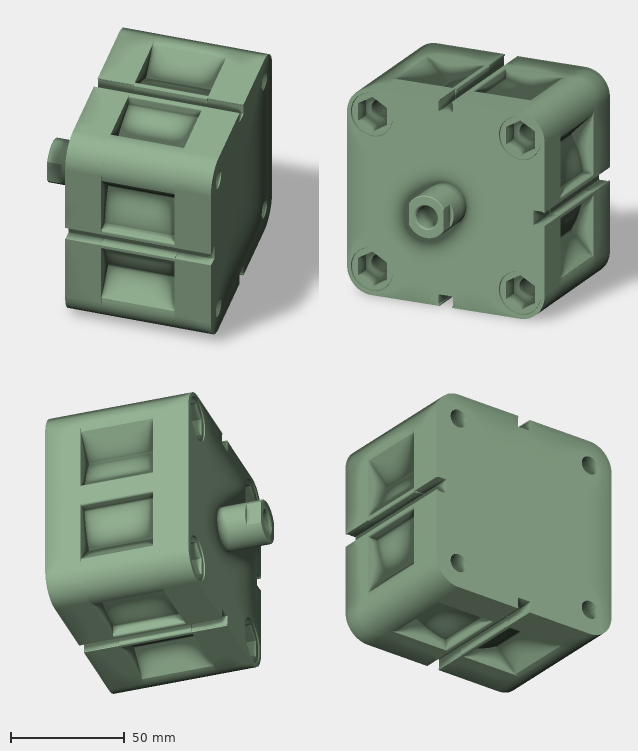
import cadquery as cq
import math


side = 96.0
half_side = side / 2
corner_radius = 12.0
cap_length = 16.5
barrel_length = 33.6
barrel_start = cap_length
rear_cap_start = barrel_start + barrel_length

screw_offset = half_side - corner_radius
screw_hole_radius = 4.3
hex_across_flats = 14.1
hex_depth = 8.2
recess_radius = 10.2
recess_depth = 0.6
head_radius = 9.9
head_gap_depth = 0.4

slot_angles = [0, 90, 180]
slot_half_width = 3.1
slot_depth = 5.0
slot_lip_half_width = 2.7
slot_lip_depth = 1.7
slot_mouth_chamfer = 0.4

slot_clearance = 0.4
cap_slot_half_width = slot_half_width + slot_clearance
cap_slot_depth = slot_depth + slot_clearance
cap_slot_mouth_half_width = slot_lip_half_width + slot_clearance
cap_slot_lip_depth = 0.6

quarter_turns = [0, 90, 180, 270]
tube_radius = 43.2
rib_half_width = 5.3
rib_edge_radius = 1.0
rib_root_radius = 0.7
boss_wrap_angle = math.radians(15)
boss_flank_angle = math.radians(45)
boss_root_radius = 1.0

rod_radius = 10.0
rod_projection = 19.9
rod_chamfer = 0.4
flat_offset = 8.4
flat_length = 6.6
flat_runout = 0.4
rod_hole_radius = 5.2
rod_hole_countersink = 0.6
rod_hole_depth = 24.0
drill_tip_slope = math.radians(30)
drill_tip_depth = rod_hole_radius * math.tan(drill_tip_slope)


def turned(shape, angle):
    """Rotate a shape about the X axis."""
    return shape.rotate((0, 0, 0), (1, 0, 0), angle)


def section_plane(x):
    """Sketch plane at x whose first axis is Y and second axis is Z."""
    return cq.Workplane("YZ", origin=(x, 0, 0))


def screw_points(x):
    return section_plane(x).rect(2 * screw_offset, 2 * screw_offset, forConstruction=True).vertices()


def housing_block(x, length):
    """Rounded square block with the four screw holes."""
    block = section_plane(x).rect(side, side).extrude(length).edges("|X").fillet(corner_radius)
    return block.cut(screw_points(x).circle(screw_hole_radius).extrude(length))


def slot_cutter(half_outline, x, length):
    """Slot on the +Z side, given the +Y half of its section from the mouth to the floor."""
    other_half = [(-y, z) for y, z in reversed(half_outline)]
    return section_plane(x).polyline(half_outline + other_half).close().extrude(length)


def cut_slots(body, cutter):
    for angle in slot_angles:
        body = body.cut(turned(cutter, angle))
    return body


def make_cap(x):
    undercut = cap_slot_half_width - cap_slot_mouth_half_width
    lip_z = half_side - cap_slot_lip_depth
    half_outline = [
        (cap_slot_mouth_half_width, half_side),
        (cap_slot_mouth_half_width, lip_z),
        (cap_slot_half_width, lip_z - undercut),
        (cap_slot_half_width, half_side - cap_slot_depth),
    ]
    return cut_slots(housing_block(x, cap_length), slot_cutter(half_outline, x, cap_length))


def make_front_cap():
    cap = make_cap(0)
    recesses = screw_points(0).circle(recess_radius).extrude(recess_depth)
    head_gaps = screw_points(recess_depth).circle(recess_radius).circle(head_radius).extrude(head_gap_depth)
    hex_diameter = hex_across_flats / math.cos(math.radians(30))
    sockets = turned(screw_points(recess_depth).polygon(6, hex_diameter).extrude(hex_depth), 90)
    rod_bore = section_plane(0).circle(rod_radius).extrude(cap_length)
    return cap.cut(recesses).cut(head_gaps).cut(sockets).cut(rod_bore)


def on_circle(centre, radius, angle):
    return (centre + radius * math.cos(angle), centre + radius * math.sin(angle))


def tube_point_along(start, angle):
    """Point where a straight line from start, heading at the angle, enters the tube circle."""
    along_y = math.cos(angle)
    along_z = math.sin(angle)
    to_midpoint = -(start[0] * along_y + start[1] * along_z)
    axis_distance = start[0] * along_z - start[1] * along_y
    reach = to_midpoint - math.sqrt(tube_radius**2 - axis_distance**2)
    return (start[0] + reach * along_y, start[1] + reach * along_z)


def root_edge(y, z):
    """Selects the lengthwise barrel edge at this place in the section."""
    return cq.NearestToPointSelector((barrel_start + barrel_length / 2, y, z))


diagonal = math.radians(45)
upper_wrap = on_circle(screw_offset, corner_radius, math.radians(90) + boss_wrap_angle)
lower_wrap = (upper_wrap[1], upper_wrap[0])
boss_root = tube_point_along(upper_wrap, math.radians(180) + boss_flank_angle)
rib_root = (rib_half_width, math.sqrt(tube_radius**2 - rib_half_width**2))


def corner_boss():
    inner_corner = on_circle(0, tube_radius / 2, diagonal)
    return (
        section_plane(barrel_start)
        .moveTo(*upper_wrap)
        .threePointArc(on_circle(screw_offset, corner_radius, diagonal), lower_wrap)
        .lineTo(boss_root[1], boss_root[0])
        .lineTo(*inner_corner)
        .lineTo(*boss_root)
        .close()
        .extrude(barrel_length)
    )


def slot_rib():
    """Rib on the +Z side, with rounded outer edges, rooted in the tube."""
    rib = section_plane(barrel_start).center(0, half_side / 2).rect(2 * rib_half_width, half_side)
    return rib.extrude(barrel_length).faces(">Z").edges("|X").fillet(rib_edge_radius)


def make_barrel():
    barrel = section_plane(barrel_start).circle(tube_radius).extrude(barrel_length)
    for angle in quarter_turns:
        barrel = barrel.union(turned(corner_boss(), angle)).union(turned(slot_rib(), angle))

    for _ in quarter_turns:
        barrel = turned(barrel, 90)
        for sign in (-1, 1):
            barrel = barrel.edges(root_edge(sign * boss_root[0], boss_root[1])).fillet(boss_root_radius)
            barrel = barrel.edges(root_edge(sign * rib_root[0], rib_root[1])).fillet(rib_root_radius)

    barrel = barrel.cut(screw_points(barrel_start).circle(screw_hole_radius).extrude(barrel_length))
    half_outline = [
        (slot_lip_half_width + slot_mouth_chamfer, half_side),
        (slot_lip_half_width, half_side - slot_mouth_chamfer),
        (slot_lip_half_width, half_side - slot_lip_depth),
        (slot_half_width, half_side - slot_lip_depth),
        (slot_half_width, half_side - slot_depth),
    ]
    return cut_slots(barrel, slot_cutter(half_outline, barrel_start, barrel_length))


def make_rod():
    tip_x = -rod_projection
    rod = section_plane(tip_x).circle(rod_radius).extrude(rod_projection + cap_length)
    rod = rod.faces("<X").chamfer(rod_chamfer)

    flat_end = tip_x + flat_length
    flat = (
        cq.Workplane("XY", origin=(0, 0, -rod_radius))
        .polyline([
            (tip_x, flat_offset),
            (flat_end, flat_offset),
            (flat_end + flat_runout, rod_radius),
            (tip_x, rod_radius),
        ])
        .close()
        .extrude(2 * rod_radius)
    )
    rod = rod.cut(flat).cut(flat.mirror("XZ"))

    hole_end = tip_x + rod_hole_depth
    hole = (
        cq.Workplane("XY")
        .polyline([
            (tip_x, 0),
            (tip_x, rod_hole_radius + rod_hole_countersink),
            (tip_x + rod_hole_countersink, rod_hole_radius),
            (hole_end, rod_hole_radius),
            (hole_end + drill_tip_depth, 0),
        ])
        .close()
        .revolve(360, (0, 0, 0), (1, 0, 0))
    )
    return rod.cut(hole)


front_cap = make_front_cap()
barrel = make_barrel()
rear_cap = make_cap(rear_cap_start)
rod = make_rod()

result = cq.Compound.makeCompound([front_cap.val(), barrel.val(), rear_cap.val(), rod.val()])